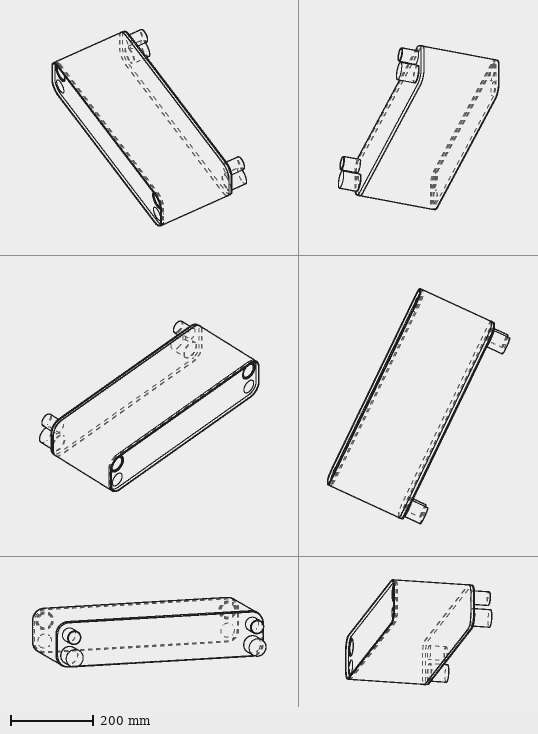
import cadquery as cq
import math

LENGTH = 527.5
HEIGHT = 113.0
COVER_CORNER_RADIUS = 31.0
DRAFT = 8.0

PACK_INSET = 1.15
PACK_CORNER_RADIUS = 28.5
PACK_FRONT_Y = 1.5
NOSE_START_Y = 188.5

COVER_DEPTH = 10.0
COVER_THICKNESS = 3.0
COVER_BEND_RADIUS = 2.5
SKIRT_THICKNESS = 2.0
FRONT_COVER_INSET = 1.5
REAR_RIM_Y = 191.5
REAR_FACE_Y = REAR_RIM_Y + COVER_DEPTH
FRONT_FLOOR_Y = COVER_DEPTH - COVER_THICKNESS

PORT_X = 233.0
PORT_Z = 25.05
LARGE_PORT_RADIUS = 21.5
LARGE_PORT_END_Y = 246.0
SMALL_PORT_RADIUS = 17.0
SMALL_PORT_END_Y = 243.5
SMALL_PORT_CHAMFER = 1.5
BOSS_HEIGHT = 1.5
DOME_RADIUS = 17.5
DOME_HEIGHT = 5.0
SEAT_RADIUS = 22.0
SEAT_DEPTH = 1.5
SEAT_FLOOR_RADIUS = 20.0


def rounded_block(inset, corner_radius, y_start, depth, draft=0.0):
    """Rounded rectangle set in from the overall outline, extruded toward +Y."""
    outline = cq.Sketch().rect(LENGTH - 2 * inset, HEIGHT - 2 * inset).vertices().fillet(corner_radius)
    plane = cq.Workplane("XZ", origin=(0, y_start, 0))
    return plane.placeSketch(outline).extrude(-depth, taper=draft)


def cylinder(x, z, radius, y_start, y_end):
    """Cylinder along Y."""
    plane = cq.Workplane("XZ", origin=(x, y_start, z))
    return plane.circle(radius).extrude(y_start - y_end)


def front_cover_envelope():
    """Outer shape of the front cover, without its hollow."""
    corner_radius = COVER_CORNER_RADIUS - FRONT_COVER_INSET
    envelope = rounded_block(FRONT_COVER_INSET, corner_radius, 0, COVER_DEPTH, DRAFT)
    return envelope.faces(">Y").edges().fillet(COVER_BEND_RADIUS)


def make_pack():
    """Plate pack: straight block, tapered nose at the rear, recess at the front."""
    block = rounded_block(PACK_INSET, PACK_CORNER_RADIUS, PACK_FRONT_Y, NOSE_START_Y - PACK_FRONT_Y)
    nose_length = REAR_FACE_Y - COVER_THICKNESS - NOSE_START_Y
    nose = rounded_block(PACK_INSET, PACK_CORNER_RADIUS, NOSE_START_Y, nose_length, DRAFT)
    return block.union(nose).cut(front_cover_envelope())


def blanking_dome(x, z, base_y):
    """Spherical cap bulging toward -Y from base_y."""
    sphere_radius = (DOME_RADIUS**2 + DOME_HEIGHT**2) / (2 * DOME_HEIGHT)
    half_angle = math.asin(DOME_RADIUS / sphere_radius) / 2
    arc_middle_x = sphere_radius * math.sin(half_angle)
    arc_middle_y = sphere_radius * (1 - math.cos(half_angle)) - DOME_HEIGHT
    half_profile = (
        cq.Workplane("XY", origin=(x, base_y, z))
        .lineTo(DOME_RADIUS, 0)
        .threePointArc((arc_middle_x, arc_middle_y), (0, -DOME_HEIGHT))
        .close()
    )
    return half_profile.revolve(360, (0, 0, 0), (0, 1, 0))


def dome_seat(x, z):
    """Shallow conical recess in the floor of the front cover."""
    plane = cq.Workplane("XZ", origin=(x, FRONT_FLOOR_Y, z))
    slope = math.degrees(math.atan2(SEAT_RADIUS - SEAT_FLOOR_RADIUS, SEAT_DEPTH))
    return plane.circle(SEAT_RADIUS).extrude(-SEAT_DEPTH, taper=slope)


def make_front_cover():
    """Dished plate with two seated domes above and two plain domes below."""
    hollow_inset = FRONT_COVER_INSET + SKIRT_THICKNESS
    hollow_radius = COVER_CORNER_RADIUS - hollow_inset
    hollow = rounded_block(hollow_inset, hollow_radius, 0, FRONT_FLOOR_Y, DRAFT)
    cover = front_cover_envelope().cut(hollow)
    for x in (-PORT_X, PORT_X):
        cover = cover.cut(dome_seat(x, PORT_Z))
        cover = cover.union(blanking_dome(x, PORT_Z, FRONT_FLOOR_Y + SEAT_DEPTH))
        cover = cover.union(blanking_dome(x, -PORT_Z, FRONT_FLOOR_Y))
    return cover


def make_rear_cover(pack):
    """Dished plate fitted over the nose of the pack, with bosses under the large ports."""
    cover = rounded_block(0, COVER_CORNER_RADIUS, REAR_RIM_Y, COVER_DEPTH, DRAFT)
    cover = cover.faces(">Y").edges().fillet(COVER_BEND_RADIUS).cut(pack)
    for x in (-PORT_X, PORT_X):
        boss = cylinder(x, -PORT_Z, LARGE_PORT_RADIUS, REAR_FACE_Y, REAR_FACE_Y + BOSS_HEIGHT)
        cover = cover.union(boss)
    return cover


def make_large_port(x):
    """Lower port stub, standing on its boss."""
    return cylinder(x, -PORT_Z, LARGE_PORT_RADIUS, REAR_FACE_Y + BOSS_HEIGHT, LARGE_PORT_END_Y)


def make_small_port(x):
    """Upper port stub with a chamfered end."""
    stub = cylinder(x, PORT_Z, SMALL_PORT_RADIUS, REAR_FACE_Y, SMALL_PORT_END_Y)
    return stub.faces(">Y").chamfer(SMALL_PORT_CHAMFER)


plate_pack = make_pack()
front_cover = make_front_cover()
rear_cover = make_rear_cover(plate_pack)
large_ports = [make_large_port(x).val() for x in (-PORT_X, PORT_X)]
small_ports = [make_small_port(x).val() for x in (-PORT_X, PORT_X)]

result = cq.Compound.makeCompound(
    [plate_pack.val(), front_cover.val(), rear_cover.val(), *large_ports, *small_ports]
)